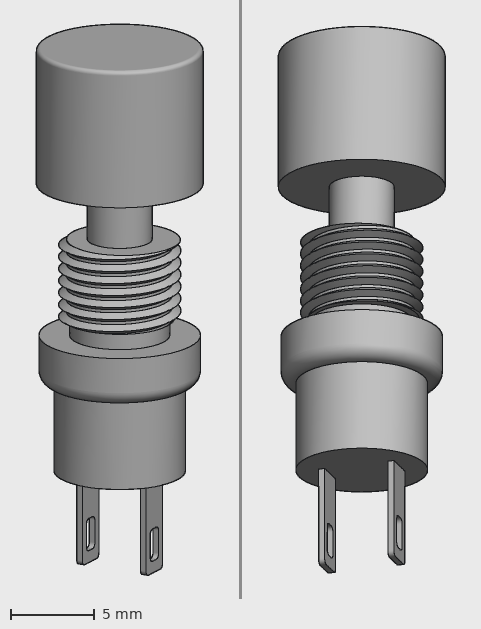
import cadquery as cq
import math


case_bottom = 6.0
flange_bottom = 11.5
flange_top = 14.5
thread_bottom = 15.5
thread_top = 20.5
cap_bottom = 24.0
cap_top = 32.5

cap_diameter = 10.0
cap_edge_fillet = 0.25
plunger_diameter = 3.9
neck_diameter = 6.0
flange_diameter = 9.7
flange_fillet = 0.8
case_diameter = 7.9

thread_diameter = 7.35
thread_root_diameter = 6.37
thread_pitch = 0.75
thread_flank_angle = 30.0
thread_start = 14.45
thread_turns = 9
thread_overlap = 0.05

terminal_thickness = 0.4
terminal_width = 2.0
terminal_spacing = 4.4
terminal_corner_radius = 0.3
eyelet_width = 1.0
eyelet_height = 2.0
eyelet_bottom = 0.75
eyelet_corner_radius = 0.3


def cylinder(diameter, bottom, top):
    return cq.Workplane("XY").workplane(offset=bottom).circle(diameter / 2).extrude(top - bottom)


def make_cap():
    return cylinder(cap_diameter, cap_bottom, cap_top).faces(">Z").edges().fillet(cap_edge_fillet)


def make_plunger():
    return cylinder(plunger_diameter, thread_top, cap_bottom)


def make_thread():
    """Root cylinder with a helical ridge, trimmed flat at both ends."""
    crest_radius = thread_diameter / 2
    base_radius = thread_root_diameter / 2 - thread_overlap
    half_base = (crest_radius - base_radius) * math.tan(math.radians(thread_flank_angle))
    helix = cq.Wire.makeHelix(
        thread_pitch, thread_turns * thread_pitch, base_radius, center=cq.Vector(0, 0, thread_start)
    )
    ridge = (
        cq.Workplane("XZ")
        .moveTo(base_radius, thread_start - half_base)
        .lineTo(crest_radius, thread_start)
        .lineTo(base_radius, thread_start + half_base)
        .close()
        .sweep(cq.Workplane(obj=helix), isFrenet=True)
    )
    root = cylinder(
        thread_root_diameter, thread_start - thread_pitch, thread_start + (thread_turns + 1) * thread_pitch
    )
    envelope = cylinder(thread_diameter + thread_pitch, thread_bottom, thread_top)
    return root.union(ridge).intersect(envelope)


def make_bushing():
    """Threaded bushing with a plain neck and a mounting flange."""
    flange = cylinder(flange_diameter, flange_bottom, flange_top).faces("<Z").edges().fillet(flange_fillet)
    neck = cylinder(neck_diameter, flange_top, thread_bottom)
    return flange.union(neck).union(make_thread())


def make_case():
    return cylinder(case_diameter, case_bottom, flange_bottom)


def make_terminal(x_center):
    """Flat solder lug with rounded lower corners and an eyelet."""
    blade = (
        cq.Workplane("XY")
        .box(terminal_thickness, terminal_width, case_bottom, centered=(True, True, False))
        .edges("|X and <Z")
        .fillet(terminal_corner_radius)
    )
    eyelet = (
        cq.Workplane("XY")
        .workplane(offset=eyelet_bottom)
        .box(terminal_thickness, eyelet_width, eyelet_height, centered=(True, True, False))
        .edges("|X")
        .fillet(eyelet_corner_radius)
    )
    return blade.cut(eyelet).translate((x_center, 0, 0))


cap = make_cap()
plunger = make_plunger()
bushing = make_bushing()
case = make_case()
terminals = [make_terminal(side * terminal_spacing / 2) for side in (-1, 1)]

result = cq.Compound.makeCompound(
    [cap.val(), plunger.val(), bushing.val(), case.val()] + [terminal.val() for terminal in terminals]
)